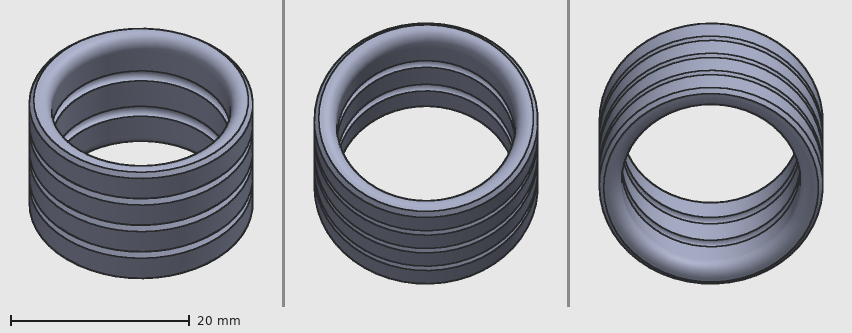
import cadquery as cq

outer_radius = 12.5
bore_radius = 10.0
height = 16.0
edge_chamfer = 0.5
bore_edge_radius = 1.5

band_count = 4
v_groove_depth = 0.5

land_count = 3
bore_groove_radius = 0.75


def make_ring():
    """Plain tube with chamfered outer rims and rounded bore mouths."""
    body = cq.Workplane("XY").circle(outer_radius).extrude(height)
    body = body.faces("<Z or >Z").edges().chamfer(edge_chamfer)
    bore = cq.Workplane("XY").circle(bore_radius).extrude(height)
    ring = body.cut(bore)
    bore_mouths = cq.selectors.RadiusNthSelector(0)
    return ring.faces("<Z or >Z").edges(bore_mouths).fillet(bore_edge_radius)


def make_v_groove(z):
    """Ring cutter with 45 degree flanks meeting at height z."""
    root_radius = outer_radius - v_groove_depth
    overshoot = v_groove_depth
    rim_radius = outer_radius + overshoot
    half_width = v_groove_depth + overshoot
    profile = (
        cq.Workplane("XZ")
        .moveTo(root_radius, z)
        .lineTo(rim_radius, z + half_width)
        .lineTo(rim_radius, z - half_width)
        .close()
    )
    return profile.revolve(360, (0, 0, 0), (0, 1, 0))


def make_bore_groove(z):
    """Torus cutter centred on the bore wall, leaving a half-round groove."""
    profile = cq.Workplane("XZ").center(bore_radius, z).circle(bore_groove_radius)
    return profile.revolve(360, (-bore_radius, 0, 0), (-bore_radius, 1, 0))


result = make_ring()

for i in range(1, band_count):
    result = result.cut(make_v_groove(i * height / band_count))

for i in range(1, land_count):
    result = result.cut(make_bore_groove(i * height / land_count))